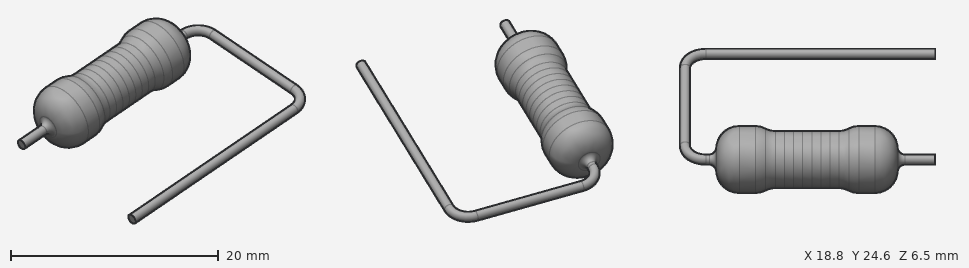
import cadquery as cq
import math

wire_diameter = 1.0
lead_spacing = 15.0
total_length = 24.6
bend_radius = 2.0

cap_diameter = 6.5
waist_diameter = 5.54
body_middle = 12.35
waist_length = 6.15
band_count = 7
shoulder_length = 1.9
cap_band_length = 1.55
cap_rounding = 2.25
flare_radius = 0.66

wire_radius = wire_diameter / 2
cap_radius = cap_diameter / 2
waist_radius = waist_diameter / 2
band_length = waist_length / band_count


def make_wire():
    """U-shaped lead running through the body and back alongside it."""
    crossbar = total_length - wire_radius
    bend_start = crossbar - bend_radius
    diagonal = bend_radius * math.sqrt(0.5)
    far_bend_center = lead_spacing - bend_radius
    path = (
        cq.Workplane("XY")
        .moveTo(0, 0)
        .lineTo(0, bend_start)
        .threePointArc((bend_radius - diagonal, bend_start + diagonal), (bend_radius, crossbar))
        .lineTo(far_bend_center, crossbar)
        .threePointArc((far_bend_center + diagonal, bend_start + diagonal), (lead_spacing, bend_start))
        .lineTo(lead_spacing, 0)
    )
    return cq.Workplane("XZ").circle(wire_radius).sweep(path)


def make_cap():
    """Outermost band, shoulder, cap and flare at the +Y end, with the body middle at Y = 0."""
    waist_end = waist_length / 2
    shoulder_end = waist_end + shoulder_length
    band_end = shoulder_end + cap_band_length

    shoulder_middle = ((waist_radius + cap_radius) / 2, waist_end + shoulder_length / 2)

    cap_center_x = cap_radius - cap_rounding
    flare_center_x = wire_radius + flare_radius
    center_offset = flare_center_x - cap_center_x
    center_distance = cap_rounding + flare_radius
    center_rise = math.sqrt(center_distance**2 - center_offset**2)
    flare_end = band_end + center_rise
    contact = (
        cap_center_x + center_offset * cap_rounding / center_distance,
        band_end + center_rise * cap_rounding / center_distance,
    )
    contact_angle = math.atan2(-center_rise, -center_offset)
    wire_angle = -math.pi
    middle_angle = (contact_angle + wire_angle) / 2
    flare_middle = (
        flare_center_x + flare_radius * math.cos(middle_angle),
        flare_end + flare_radius * math.sin(middle_angle),
    )
    return (
        cq.Workplane("XY")
        .moveTo(0, waist_end - band_length)
        .lineTo(waist_radius, waist_end - band_length)
        .lineTo(waist_radius, waist_end)
        .tangentArcPoint(shoulder_middle, relative=False)
        .tangentArcPoint((cap_radius, shoulder_end), relative=False)
        .lineTo(cap_radius, band_end)
        .tangentArcPoint(contact, relative=False)
        .threePointArc(flare_middle, (wire_radius, flare_end))
        .lineTo(0, flare_end)
        .close()
        .revolve(360, (0, 0, 0), (0, 1, 0))
    )


def add_inner_bands(body):
    """Join the caps with flush cylinders, keeping each band as its own face."""
    inner_band_count = band_count - 2
    for index in range(inner_band_count):
        band_start = (index - inner_band_count / 2) * band_length
        band = (
            cq.Workplane("XZ", origin=(0, band_start, 0))
            .circle(waist_radius)
            .extrude(-band_length)
        )
        body = body.union(band, clean=False)
    return body


cap = make_cap()
caps = cap.union(cap.mirror("XZ"), clean=False)
body = add_inner_bands(caps).translate((0, body_middle, 0))
result = body.union(make_wire(), clean=False)